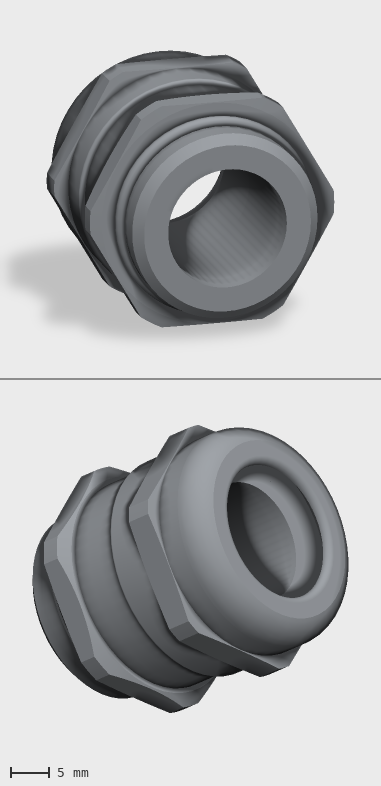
import cadquery as cq
import math


hex_across_flats = 30.0
total_length = 33.85
bore_diameter = 16.0
thread_diameter = 26.77
seal_diameter = 20.6

nut_diameter = 29.8
nut_length = 16.25
dome_length = 3.82
dome_face_diameter = 24.33
dome_radius = 4.0
mouth_diameter = 18.2
mouth_round = 0.9
lip_thickness = 1.0
nut_hex_start = 7.15
nut_hex_end = 11.1
nut_corner_diameter = 33.5
nut_hex_bevel = 0.25
nut_end_round = 0.37

neck_start = 4.85
sleeve_diameter = 28.3
body_hex_start = 23.25
body_hex_end = 26.8
body_corner_diameter = 32.95
front_bevel_length = 0.98
front_bevel_angle = 60.0
rear_bevel_length = 0.17
groove_diameter = 22.8
connection_diameter = 25.0
connection_start = 29.35
connection_bevel = 1.25

ring_outer_diameter = 26.77
ring_section_radius = (ring_outer_diameter - groove_diameter) / 4


def revolve_about_x(profile):
    """Full turn about the X axis of a closed XY sketch (x = station, y = radius)."""
    return profile.close().revolve(360, (0, 0, 0), (1, 0, 0))


def tube(start, end, outer_diameter, inner_diameter):
    rings = cq.Workplane("YZ", origin=(start, 0, 0)).circle(outer_diameter / 2).circle(inner_diameter / 2)
    return rings.extrude(end - start)


def cylinder(start, end, diameter):
    return cq.Workplane("YZ", origin=(start, 0, 0)).circle(diameter / 2).extrude(end - start)


def bevelled_hexagon(start, end, corner_radius, front_bevel, front_radius, rear_bevel, rear_radius):
    """Hexagon with flats on top and bottom, its corners turned round and bevelled at both ends."""
    across_corners = hex_across_flats / math.cos(math.pi / 6)
    prism = cq.Workplane("YZ", origin=(start, 0, 0)).polygon(6, across_corners).extrude(end - start)
    turned = revolve_about_x(
        cq.Workplane("XY")
        .moveTo(start, 0)
        .lineTo(start, front_radius)
        .lineTo(start + front_bevel, corner_radius)
        .lineTo(end - rear_bevel, corner_radius)
        .lineTo(end, rear_radius)
        .lineTo(end, 0)
    )
    return prism.intersect(turned)


def make_cap_nut():
    outer_radius = nut_diameter / 2
    mouth_radius = mouth_diameter / 2
    shell = revolve_about_x(
        cq.Workplane("XY")
        .moveTo(0, 0)
        .lineTo(0, dome_face_diameter / 2)
        .radiusArc((dome_length, outer_radius), dome_radius)
        .lineTo(nut_length - nut_end_round, outer_radius)
        .radiusArc((nut_length, outer_radius - nut_end_round), nut_end_round)
        .lineTo(nut_length, 0)
    )
    hexagon = bevelled_hexagon(
        nut_hex_start, nut_hex_end, nut_corner_diameter / 2,
        nut_hex_bevel, outer_radius, nut_hex_bevel, outer_radius,
    )
    mouth = revolve_about_x(
        cq.Workplane("XY")
        .moveTo(0, 0)
        .lineTo(0, mouth_radius + mouth_round)
        .radiusArc((mouth_round, mouth_radius), -mouth_round)
        .lineTo(lip_thickness, mouth_radius)
        .lineTo(lip_thickness, 0)
    )
    cavity = cylinder(lip_thickness, nut_length, thread_diameter)
    return shell.union(hexagon).cut(mouth).cut(cavity)


def make_body():
    neck = cylinder(neck_start, nut_length, thread_diameter)
    sleeve = cylinder(nut_length, body_hex_start, sleeve_diameter)
    corner_radius = body_corner_diameter / 2
    front_radius = corner_radius - front_bevel_length * math.tan(math.radians(front_bevel_angle))
    hexagon = bevelled_hexagon(
        body_hex_start, body_hex_end, corner_radius,
        front_bevel_length, front_radius, rear_bevel_length, nut_diameter / 2,
    )
    connection_radius = connection_diameter / 2
    groove_radius = groove_diameter / 2
    groove_end = connection_start - (connection_radius - groove_radius)
    connection = revolve_about_x(
        cq.Workplane("XY")
        .moveTo(body_hex_end, 0)
        .lineTo(body_hex_end, groove_radius)
        .lineTo(groove_end, groove_radius)
        .lineTo(connection_start, connection_radius)
        .lineTo(total_length - connection_bevel, connection_radius)
        .lineTo(total_length, connection_radius - connection_bevel)
        .lineTo(total_length, 0)
    )
    seal_seat = cylinder(neck_start, nut_length, seal_diameter)
    bore = cylinder(neck_start, total_length, bore_diameter)
    return neck.union(sleeve).union(hexagon).union(connection).cut(seal_seat).cut(bore)


def make_seal():
    return tube(neck_start, nut_length, seal_diameter, bore_diameter)


def make_o_ring():
    """Round-section ring on the groove floor, resting against the rear face of the body hexagon."""
    centre_station = body_hex_end + ring_section_radius
    centre_radius = groove_diameter / 2 + ring_section_radius
    section = cq.Workplane("XY").center(centre_station, centre_radius).circle(ring_section_radius)
    return section.revolve(360, (0, -centre_radius, 0), (1, -centre_radius, 0))


cap_nut = make_cap_nut()
body = make_body()
seal = make_seal()
o_ring = make_o_ring()

result = cq.Compound.makeCompound([cap_nut.val(), body.val(), seal.val(), o_ring.val()])